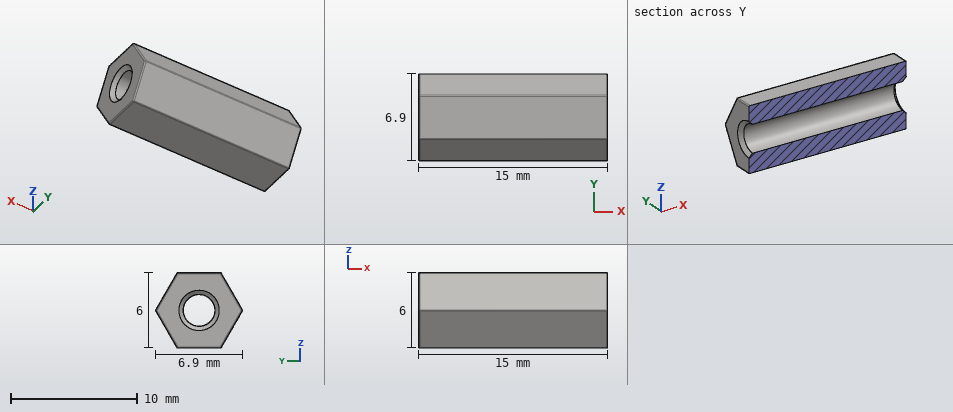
import cadquery as cq
import math

length = 15.0
across_flats = 6.0
edge_radius = 0.1
bore_diameter = 2.5
countersink_diameter = 3.2
countersink_depth = (countersink_diameter - bore_diameter) / 2

across_corners = across_flats / math.cos(math.pi / 6)


def hex_body():
    """Hexagonal bar centred on the origin, flats facing +Z and -Z, every edge rounded."""
    bar = cq.Workplane("YZ").polygon(6, across_corners).extrude(length / 2, both=True)
    return bar.edges().fillet(edge_radius)


def countersunk_bore():
    """Through bore along X, widened by a conical countersink at both ends."""
    bore_radius = bore_diameter / 2
    mouth_radius = countersink_diameter / 2
    half_length = length / 2
    cone_start = half_length - countersink_depth
    profile = [
        (-half_length, 0),
        (-half_length, mouth_radius),
        (-cone_start, bore_radius),
        (cone_start, bore_radius),
        (half_length, mouth_radius),
        (half_length, 0),
    ]
    return cq.Workplane("XY").polyline(profile).close().revolve(360, (0, 0, 0), (1, 0, 0))


result = hex_body().cut(countersunk_bore())